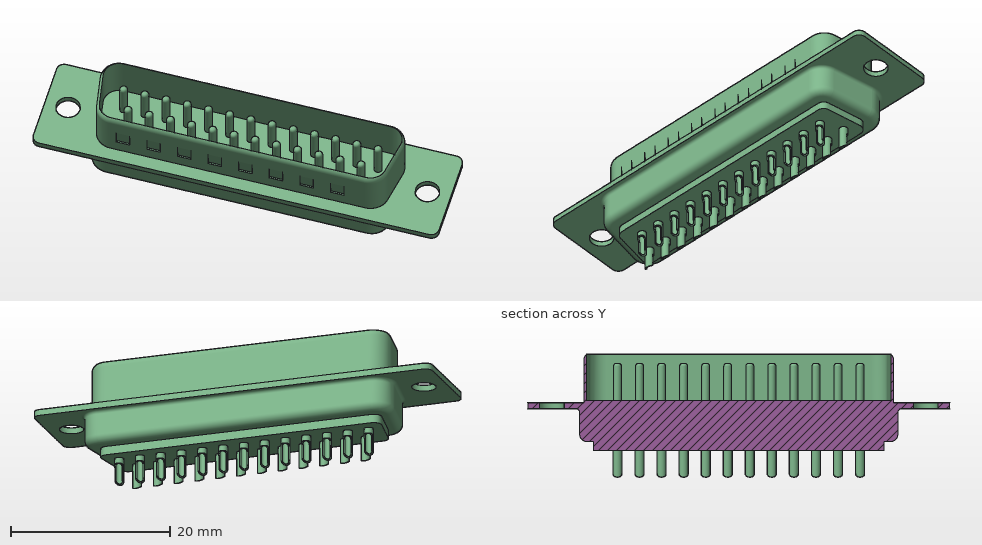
import cadquery as cq
import math


OVERALL_HEIGHT = 15.5

FLANGE_LENGTH = 53.05
FLANGE_WIDTH = 12.55
FLANGE_THICKNESS = 0.8
FLANGE_CORNER_RADIUS = 1.0
MOUNTING_HOLE_DIAMETER = 3.1
MOUNTING_HOLE_SPACING = 47.0

SIDE_ANGLE = 10.0
SHELL_WIDTH = 39.0
SHELL_DEPTH = 9.1
SHELL_CORNER_RADIUS = 2.4
HOUSING_WIDTH = 40.05
HOUSING_DEPTH = 10.7
HOUSING_CORNER_RADIUS = SHELL_CORNER_RADIUS
INSULATOR_WIDTH = 36.55
INSULATOR_DEPTH = 6.9
INSULATOR_CORNER_RADIUS = 1.0

SHELL_HEIGHT = 6.1
SHELL_WALL = 0.35
RIM_RADIUS = 0.95
FLOOR_Z = 0.25

HOUSING_BOTTOM = -4.95
HOUSING_EDGE_RADIUS = 0.95
HOUSING_ROOT_RADIUS = 0.4
INSULATOR_BOTTOM = -6.05

DIMPLE_COUNT = 8
DIMPLE_SPAN = 28.0
DIMPLE_FIRST_X = -15.0
DIMPLE_WIDTH = 1.75
DIMPLE_HEIGHT = 1.9
DIMPLE_CENTER_Z = 2.6
DIMPLE_DEPTH = 0.2

BACK_ROW_COUNT = 13
FRONT_ROW_COUNT = 12
BACK_ROW_SPAN = 33.25
CONTACT_PITCH = BACK_ROW_SPAN / (BACK_ROW_COUNT - 1)
ROW_OFFSET = 1.45
PIN_DIAMETER = 1.0
PIN_TOP = 4.95
PIN_TIP_RADIUS = 0.35
CUP_DIAMETER = 1.15
CUP_BORE_DIAMETER = 0.8
CUP_BOTTOM = SHELL_HEIGHT - OVERALL_HEIGHT
CUP_TIP_HEIGHT = 0.4
CUP_STEP_Z = -6.8
CUP_STEP_RADIUS = 0.55

OVERLAP = 0.25


def d_prism(width, depth, corner_radius, bottom, top):
    """Upright prism with a D-shaped outline, wider towards +Y."""
    flare = depth / 2 * math.tan(math.radians(SIDE_ANGLE))
    wide = width / 2 + flare
    narrow = width / 2 - flare
    corners = [(-narrow, -depth / 2), (narrow, -depth / 2), (wide, depth / 2), (-wide, depth / 2)]
    prism = cq.Workplane("XY").workplane(offset=bottom).polyline(corners).close().extrude(top - bottom)
    return prism.edges("|Z").fillet(corner_radius)


def make_flange():
    plate = cq.Workplane("XY").box(FLANGE_LENGTH, FLANGE_WIDTH, FLANGE_THICKNESS)
    plate = plate.translate((0, 0, -FLANGE_THICKNESS / 2)).edges("|Z").fillet(FLANGE_CORNER_RADIUS)
    hole_x = MOUNTING_HOLE_SPACING / 2
    holes = plate.faces(">Z").workplane(origin=(0, 0, 0)).pushPoints([(-hole_x, 0), (hole_x, 0)])
    return holes.hole(MOUNTING_HOLE_DIAMETER)


def make_rear_housing():
    """Housing with a rounded lower edge, blended into the underside of the flange."""
    housing = d_prism(HOUSING_WIDTH, HOUSING_DEPTH, HOUSING_CORNER_RADIUS, HOUSING_BOTTOM, -FLANGE_THICKNESS)
    housing = housing.faces("<Z").edges().fillet(HOUSING_EDGE_RADIUS)
    joined = make_flange().union(housing)
    reach_x = MOUNTING_HOLE_SPACING / 2 - MOUNTING_HOLE_DIAMETER / 2
    reach_y = HOUSING_DEPTH / 2 + HOUSING_ROOT_RADIUS / 2
    root = cq.selectors.BoxSelector(
        (-reach_x, -reach_y, -FLANGE_THICKNESS - HOUSING_ROOT_RADIUS / 2),
        (reach_x, reach_y, -FLANGE_THICKNESS + HOUSING_ROOT_RADIUS / 2),
    )
    return joined.edges(root).fillet(HOUSING_ROOT_RADIUS)


def make_shell():
    """Open shell whose rim curves inwards across the wall thickness."""
    rim_rise = math.sqrt(RIM_RADIUS**2 - (RIM_RADIUS - SHELL_WALL) ** 2)
    blank_top = SHELL_HEIGHT + RIM_RADIUS - rim_rise
    shell = d_prism(SHELL_WIDTH, SHELL_DEPTH, SHELL_CORNER_RADIUS, -OVERLAP, blank_top)
    shell = shell.faces(">Z").edges().fillet(RIM_RADIUS)
    side_wall = SHELL_WALL / math.cos(math.radians(SIDE_ANGLE))
    cavity = d_prism(
        SHELL_WIDTH - 2 * side_wall,
        SHELL_DEPTH - 2 * SHELL_WALL,
        SHELL_CORNER_RADIUS - SHELL_WALL,
        FLOOR_Z,
        blank_top,
    )
    return shell.cut(cavity)


def make_dimples():
    """Wedges that are flush at their upper end and deepest at their lower end."""
    wall_y = -SHELL_DEPTH / 2
    low = DIMPLE_CENTER_Z - DIMPLE_HEIGHT / 2
    high = DIMPLE_CENTER_Z + DIMPLE_HEIGHT / 2
    profile = [(wall_y, low), (wall_y + DIMPLE_DEPTH, low), (wall_y, high)]
    wedge = cq.Workplane("YZ").polyline(profile).close().extrude(DIMPLE_WIDTH / 2, both=True)
    pitch = DIMPLE_SPAN / (DIMPLE_COUNT - 1)
    dimples = cq.Workplane("XY")
    for i in range(DIMPLE_COUNT):
        dimples = dimples.add(wedge.translate((DIMPLE_FIRST_X + i * pitch, 0, 0)))
    return dimples.combine()


def make_contact():
    """One +Y row contact on the Z axis, its solder cup open towards +Y."""
    pin = cq.Workplane("XY").workplane(offset=-OVERLAP).circle(PIN_DIAMETER / 2).extrude(PIN_TOP + OVERLAP)
    pin = pin.faces(">Z").edges().fillet(PIN_TIP_RADIUS)

    cup_radius = CUP_DIAMETER / 2
    cup_top = INSULATOR_BOTTOM + OVERLAP
    cup = cq.Workplane("XY").workplane(offset=CUP_BOTTOM).circle(cup_radius).extrude(cup_top - CUP_BOTTOM)
    bore = cq.Workplane("XY").workplane(offset=CUP_BOTTOM).circle(CUP_BORE_DIAMETER / 2)
    cup = cup.cut(bore.extrude(INSULATOR_BOTTOM - CUP_BOTTOM))

    arc_mid = CUP_STEP_RADIUS * (1 - math.sqrt(0.5))
    opening = (
        cq.Workplane("YZ")
        .moveTo(-cup_radius, CUP_BOTTOM)
        .lineTo(0, CUP_BOTTOM + CUP_TIP_HEIGHT)
        .lineTo(0, CUP_STEP_Z - CUP_STEP_RADIUS)
        .threePointArc((arc_mid, CUP_STEP_Z - arc_mid), (CUP_STEP_RADIUS, CUP_STEP_Z))
        .lineTo(CUP_DIAMETER, CUP_STEP_Z)
        .lineTo(CUP_DIAMETER, CUP_BOTTOM)
        .close()
        .extrude(CUP_DIAMETER, both=True)
    )
    return pin.add(cup.cut(opening))


def make_contacts():
    contact = make_contact()
    mirrored = contact.rotate((0, 0, 0), (0, 0, 1), 180)
    contacts = []
    for row, count, y in ((contact, BACK_ROW_COUNT, ROW_OFFSET), (mirrored, FRONT_ROW_COUNT, -ROW_OFFSET)):
        for i in range(count):
            x = (i - (count - 1) / 2) * CONTACT_PITCH
            contacts.append(row.translate((x, y, 0)))
    return contacts


insulator = d_prism(
    INSULATOR_WIDTH,
    INSULATOR_DEPTH,
    INSULATOR_CORNER_RADIUS,
    INSULATOR_BOTTOM,
    HOUSING_BOTTOM + OVERLAP,
)
result = make_rear_housing().union(insulator).union(make_shell()).cut(make_dimples())
for contact in make_contacts():
    result = result.union(contact)